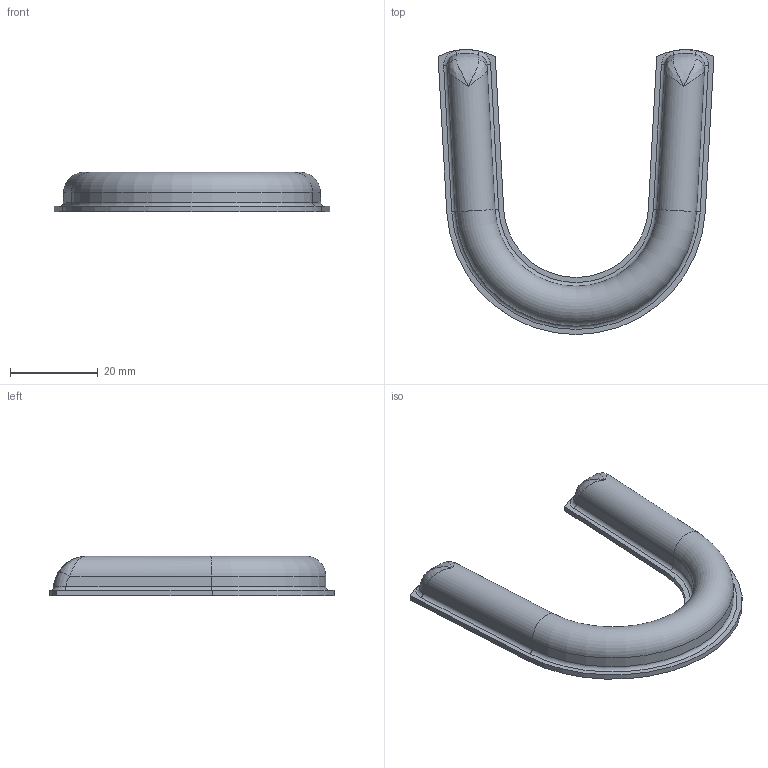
import cadquery as cq
import math

bend_radius = 23.0
leg_spread_angle = 3.17
overall_height = 9.0
end_y = 35.47

flange_width = 13.0
flange_thickness = 1.2
end_arc_radius = 14.0

bar_width = 9.0
foot_fillet = 0.85

nose_setback = 0.9
nose_radius = 7.5
nose_edge_fillet = 2.5

cut_margin = 5.0

crown_radius = bar_width / 2
crown_centre_z = overall_height - crown_radius
spread = math.radians(leg_spread_angle)
end_arc_y = end_y - end_arc_radius
end_arc_x = (bend_radius + end_y * math.sin(spread)) / math.cos(spread)
nose_base_radius = end_arc_radius - nose_setback
nose_apex_radius = nose_base_radius - nose_radius
nose_centre_z = overall_height - nose_radius
leg_length = end_y + cut_margin


def tangent_point(radius):
    """Point where the bend circle of this radius runs into the right leg."""
    return radius * math.cos(spread), -radius * math.sin(spread)


def end_corner(radius):
    """Point where the right leg line tangent to this bend circle meets the end arc."""
    normal = (math.cos(spread), -math.sin(spread))
    along = (math.sin(spread), math.cos(spread))
    offset = radius - (end_arc_x * normal[0] + end_arc_y * normal[1])
    reach = end_arc_x * along[0] + end_arc_y * along[1] + math.sqrt(end_arc_radius**2 - offset**2)
    return radius * normal[0] + reach * along[0], radius * normal[1] + reach * along[1]


def mirrored(point):
    """Matching point on the left leg."""
    return -point[0], point[1]


def make_flange():
    """Flat U-shaped flange with convex leg ends."""
    outer = bend_radius + flange_width / 2
    inner = bend_radius - flange_width / 2
    return (
        cq.Workplane("XY")
        .moveTo(*tangent_point(outer))
        .lineTo(*end_corner(outer))
        .threePointArc((end_arc_x, end_y), end_corner(inner))
        .lineTo(*tangent_point(inner))
        .threePointArc((0, -inner), mirrored(tangent_point(inner)))
        .lineTo(*mirrored(end_corner(inner)))
        .threePointArc((-end_arc_x, end_y), mirrored(end_corner(outer)))
        .lineTo(*mirrored(tangent_point(outer)))
        .threePointArc((0, -outer), tangent_point(outer))
        .close()
        .extrude(flange_thickness)
    )


def bar_section():
    """Upright section with a semicircular crown, centred on the bend radius in the XZ plane."""
    left = bend_radius - crown_radius
    right = bend_radius + crown_radius
    return (
        cq.Workplane("XZ")
        .moveTo(left, 0)
        .lineTo(right, 0)
        .lineTo(right, crown_centre_z)
        .threePointArc((bend_radius, overall_height), (left, crown_centre_z))
        .close()
    )


def make_nose_cutter():
    """Ring segment that leaves a nose curved both in plan and in height at the end of the right leg."""
    rim = end_arc_radius + cut_margin
    top = overall_height + cut_margin
    diagonal = nose_radius * math.sqrt(0.5)
    return (
        cq.Workplane("XZ")
        .moveTo(nose_apex_radius, overall_height)
        .threePointArc(
            (nose_apex_radius + diagonal, nose_centre_z + diagonal),
            (nose_base_radius, nose_centre_z),
        )
        .lineTo(nose_base_radius, 0)
        .lineTo(rim, 0)
        .lineTo(rim, top)
        .lineTo(nose_apex_radius, top)
        .close()
        .revolve(180, (0, 0, 0), (0, 1, 0))
        .translate((end_arc_x, end_arc_y, 0))
    )


def make_leg():
    """Right leg of the bar, with its nose cut to shape and the edges of the nose rounded."""
    leg = bar_section().extrude(-leg_length).rotate((0, 0, 0), (0, 0, 1), -leg_spread_angle)
    leg = leg.cut(make_nose_cutter())
    upright_edges = leg.edges("|Z").edges(">Y or >>Y[-2]")
    crest_edges = leg.edges("%BSPLINE")
    return leg.newObject(upright_edges.vals() + crest_edges.vals()).fillet(nose_edge_fillet)


def make_bend():
    """Bar section swept around the bend, from the right leg to the left leg."""
    sweep_angle = 180 - 2 * leg_spread_angle
    bend = bar_section().revolve(sweep_angle, (0, 0, 0), (0, -1, 0))
    return bend.rotate((0, 0, 0), (0, 0, 1), -leg_spread_angle)


def round_foot(part):
    """Blend the bar into the flange all around its foot."""
    flange_top = part.faces("+Z").val()
    foot_edges = flange_top.innerWires()[0].Edges()
    return part.newObject(foot_edges).fillet(foot_fillet)


right_leg = make_leg()
left_leg = right_leg.mirror("YZ")
bar = make_bend().union(right_leg).union(left_leg)
result = round_foot(make_flange().union(bar))